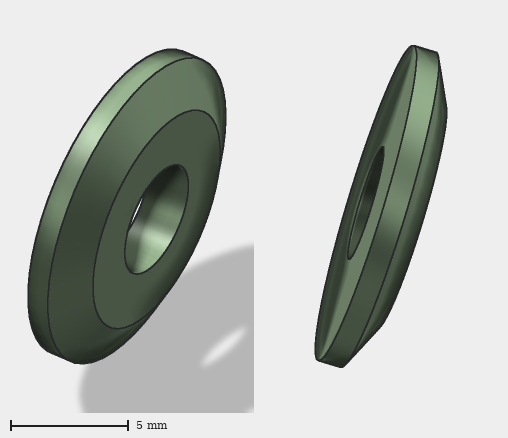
import cadquery as cq

outer_diameter = 14.0
hole_diameter = 5.0
small_face_diameter = 10.0
thickness = 2.0
rim_thickness = 1.0

outer_radius = outer_diameter / 2
hole_radius = hole_diameter / 2
small_face_radius = small_face_diameter / 2


def conical_washer():
    """Revolve the half section (X along the axis, Y radial) about the X axis."""
    half_section = (
        cq.Workplane("XY")
        .moveTo(0, hole_radius)
        .lineTo(0, outer_radius)
        .lineTo(rim_thickness, outer_radius)
        .lineTo(thickness, small_face_radius)
        .lineTo(thickness, hole_radius)
        .close()
    )
    axis_start = (0, 0, 0)
    axis_end = (1, 0, 0)
    return half_section.revolve(360, axis_start, axis_end)


result = conical_washer()